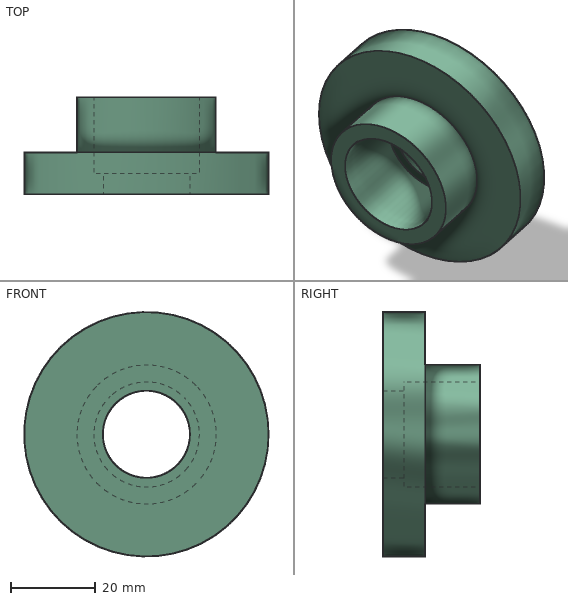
import cadquery as cq

flange_diameter = 58.0
flange_thickness = 10.0
total_length = 23.0
hub_diameter = 33.0
bore_diameter = 20.6
counterbore_diameter = 25.0
bore_length = flange_thickness / 2


def cylinder_along_y(diameter, start, end):
    """Solid cylinder about the Y axis between two Y positions."""
    return (
        cq.Workplane("XZ", origin=(0, start, 0))
        .circle(diameter / 2)
        .extrude(start - end)
    )


flange = cylinder_along_y(flange_diameter, 0, flange_thickness)
hub = cylinder_along_y(hub_diameter, 0, total_length)
body = flange.union(hub)

bore = cylinder_along_y(bore_diameter, 0, total_length)
counterbore = cylinder_along_y(counterbore_diameter, bore_length, total_length)

result = body.cut(bore).cut(counterbore)